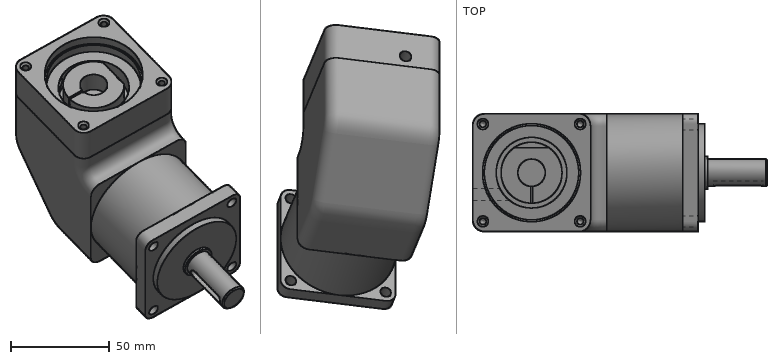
import cadquery as cq
import math


width = 60.0
half_width = width / 2
edge_radius = 6.0
bolt_pitch = 49.5

flange_height = 20.0
bore_diameter = 50.0
bore_depth = 5.1
seat_diameter = 48.0
seat_floor_depth = 10.2
clearance_diameter = 36.0
screw_diameter = 3.3
screw_depth = 12.0
drill_tip_angle = 118.0
countersink_diameter = 5.5
countersink_angle = 90.0
access_diameter = 6.0
access_depth = 14.0
access_offset = 11.0

hub_diameter = 31.0
hub_top_depth = 8.2
hub_flat_offset = 12.8
hub_cut_height = 6.0
hub_slit_width = 1.0
input_bore_diameter = 14.0

output_axis_depth = 63.0
elbow_length = 68.2
bevel_leg = 34.5
bevel_radius = 15.0
throat_radius = 6.0

gear_case_length = 38.5
output_flange_thickness = 8.0
output_flange_corner_radius = 5.0
output_flange_hole_diameter = 5.5
pilot_diameter = 50.0
pilot_length = 3.5
collar_diameter = 17.0
collar_length = 1.4
shaft_diameter = 14.0
shaft_chamfer = 0.8
overall_length = 150.0
key_width = 5.0
key_length = 25.0
key_depth = 3.0
key_end_gap = 2.4

left_x = -half_width
right_x = half_width
elbow_end_x = left_x + elbow_length
output_flange_x = elbow_end_x + gear_case_length
pilot_x = output_flange_x + output_flange_thickness
collar_x = pilot_x + pilot_length
shaft_x = collar_x + collar_length
shaft_end_x = left_x + overall_length
output_z = -output_axis_depth
bottom_z = output_z - half_width
elbow_top_z = output_z + half_width


def cylinder_down(diameter, top_z, bottom):
    """Cylinder on the input axis between two heights."""
    return cq.Workplane("XY", origin=(0, 0, bottom)).circle(diameter / 2).extrude(top_z - bottom)


def output_plane(x):
    """Plane across the output axis, facing +X."""
    return cq.Workplane("YZ", origin=(x, 0, output_z))


def screw_hole_cutter():
    """Countersunk blind hole with a conical drill tip, drilled down from Z = 0 at the origin."""
    radius = screw_diameter / 2
    sink_radius = countersink_diameter / 2
    sink_depth = (sink_radius - radius) / math.tan(math.radians(countersink_angle / 2))
    tip_depth = radius / math.tan(math.radians(drill_tip_angle / 2))
    return (
        cq.Workplane("XZ")
        .moveTo(0, 0)
        .lineTo(sink_radius, 0)
        .lineTo(radius, -sink_depth)
        .lineTo(radius, -screw_depth)
        .lineTo(0, -screw_depth - tip_depth)
        .close()
        .revolve(360, (0, 0), (0, 1))
    )


def make_input_flange():
    """Square flange with a stepped bore, four screw holes and a side hole to the clamp screw."""
    flange = (
        cq.Workplane("XY", origin=(0, 0, -flange_height))
        .rect(width, width)
        .extrude(flange_height)
        .edges("|Z")
        .fillet(edge_radius)
        .cut(cylinder_down(bore_diameter, 0, -bore_depth))
        .cut(cylinder_down(seat_diameter, 0, -seat_floor_depth))
        .cut(cylinder_down(clearance_diameter, 0, -flange_height))
    )
    screw_hole = screw_hole_cutter()
    for x in (-bolt_pitch / 2, bolt_pitch / 2):
        for y in (-bolt_pitch / 2, bolt_pitch / 2):
            flange = flange.cut(screw_hole.translate((x, y, 0)))
    access_hole = (
        cq.Workplane("YZ", origin=(left_x, -access_offset, -access_depth))
        .circle(access_diameter / 2)
        .extrude(half_width)
    )
    return flange.cut(access_hole)


def make_elbow():
    """Elbow block with a bevelled outer corner, a rounded throat and rounded side edges."""
    block = (
        cq.Workplane("XZ", origin=(0, half_width, 0))
        .moveTo(left_x, -flange_height)
        .lineTo(right_x, -flange_height)
        .lineTo(right_x, elbow_top_z + throat_radius)
        .radiusArc((right_x + throat_radius, elbow_top_z), -throat_radius)
        .lineTo(elbow_end_x, elbow_top_z)
        .lineTo(elbow_end_x, bottom_z)
        .lineTo(left_x + bevel_leg, bottom_z)
        .lineTo(left_x, bottom_z + bevel_leg)
        .close()
        .extrude(width)
    )
    margin = 1.5
    bevel_ends = cq.selectors.BoxSelector(
        (left_x - margin, -width, bottom_z - margin),
        (left_x + bevel_leg + margin, width, bottom_z + bevel_leg + margin),
    )
    block = block.edges("|Y").edges(bevel_ends).fillet(bevel_radius)
    return block.faces("<Y or >Y").edges("not(>X or >Z)").fillet(edge_radius)


def make_hub():
    """Clamping hub with a slit and a flat in its upper part, standing on the top of the elbow."""
    cut_floor_z = -hub_top_depth - hub_cut_height
    hub = cylinder_down(hub_diameter, -hub_top_depth, -flange_height)
    beyond_flat = cq.Workplane("XY", origin=(0, hub_flat_offset, cut_floor_z)).box(
        hub_diameter, hub_diameter, hub_cut_height, centered=(True, False, False)
    )
    slit = cq.Workplane("XY", origin=(0, -hub_diameter, cut_floor_z)).box(
        hub_slit_width, hub_diameter, hub_cut_height, centered=(True, False, False)
    )
    input_bore = cylinder_down(input_bore_diameter, -hub_top_depth, -flange_height)
    return hub.cut(beyond_flat).cut(slit).cut(input_bore)


def make_output_flange():
    """Square mounting flange with rounded corners and four through holes."""
    return (
        output_plane(output_flange_x)
        .rect(width, width)
        .extrude(output_flange_thickness)
        .edges("|X")
        .fillet(output_flange_corner_radius)
        .faces(">X")
        .workplane(origin=(pilot_x, 0, output_z))
        .rect(bolt_pitch, bolt_pitch, forConstruction=True)
        .vertices()
        .hole(output_flange_hole_diameter)
    )


def make_output_shaft():
    """Chamfered shaft with a round-ended keyway on its -Y side."""
    shaft = (
        output_plane(shaft_x)
        .circle(shaft_diameter / 2)
        .extrude(shaft_end_x - shaft_x)
        .faces(">X")
        .chamfer(shaft_chamfer)
    )
    key_center_x = shaft_end_x - key_end_gap - key_length / 2
    keyway = (
        cq.Workplane("XZ", origin=(key_center_x, -shaft_diameter / 2, output_z))
        .slot2D(key_length, key_width)
        .extrude(-key_depth)
    )
    return shaft.cut(keyway)


def make_gearbox():
    """Elbow, clamping hub and the whole output end as one solid."""
    gear_case = output_plane(elbow_end_x).circle(half_width).extrude(gear_case_length)
    pilot = output_plane(pilot_x).circle(pilot_diameter / 2).extrude(pilot_length)
    collar = output_plane(collar_x).circle(collar_diameter / 2).extrude(collar_length)
    return (
        make_elbow()
        .union(make_hub())
        .union(gear_case)
        .union(make_output_flange())
        .union(pilot)
        .union(collar)
        .union(make_output_shaft())
    )


input_flange = make_input_flange()
gearbox = make_gearbox()

result = cq.Compound.makeCompound([input_flange.val(), gearbox.val()])